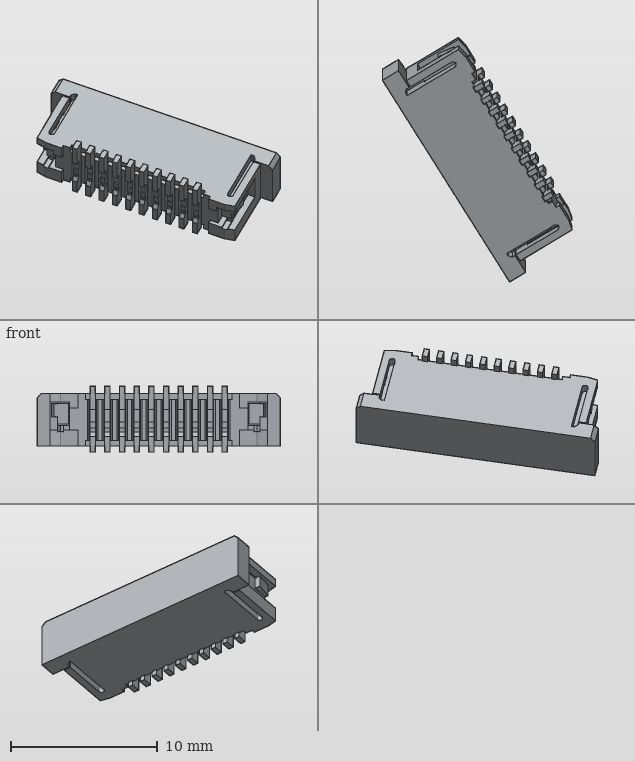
import cadquery as cq

BODY_HEIGHT = 3.6
BACK_Y = 5.75
FRONT_Y = 0.05
CONTACT_FACE_Y = 0.31
HALF_WIDTH = 7.42
HALF_EAR_WIDTH = 8.3
EAR_FRONT_Y = 4.46
EAR_CHAMFER = 0.3
BLOCK_INNER_X = 5.5
BEVEL_START_X = 6.7
BEVEL_DEPTH = 0.15

CONTACT_COUNT = 10
PITCH = 1.0
CONTACT_WIDTH = 0.37
CONTACT_DEPTH = 0.7
CONTACT_OVERHANG_TOP = 0.5
CONTACT_OVERHANG_BOTTOM = 0.4
CONTACT_STEP_Z = 2.5
CONTACT_TAB_Y = 0.2
CONTACT_TAB_LOW_Z = 1.25
CONTACT_TAB_HIGH_Z = 1.65
CONTACT_RAMP_HIGH_Z = 0.95
CONTACT_RAMP_LOW_Z = 0.65

HALF_ROW = CONTACT_COUNT * PITCH / 2
ROW_BACK_Y = 0.61
PARTITION_LOW_Z = 0.4
PARTITION_HIGH_Z = 3.2
PARTITION_ROOT_WIDTH = 0.5
PARTITION_TIP_WIDTH = 0.28
PARTITION_SIDE_BULGE = 0.04

SLOT_OUTER_X = 6.9
SLOT_WIDTH = 0.4
SLOT_FRONT_Y = 0.86
SLOT_BACK_Y = 4.87
ARM_GAP = 0.1
ARM_BACK_Y = EAR_FRONT_Y - ARM_GAP
SLOT_INNER_X = SLOT_OUTER_X - SLOT_WIDTH

WINDOW_LOW_Z = 1.1
WINDOW_HIGH_Z = 3.0
WINDOW_BACK_Y = 3.475
WINDOW_INNER_X = 6.1
FRONT_RECESS_HIGH_Z = 2.6
TUNNEL_LOW_Z = 1.4
TUNNEL_BACK_Y = 5.0
GROOVE_DEPTH = 0.1

LEG_LOW_Z = 1.5
LEG_HIGH_Z = 2.9
LEG_FRONT_Y = 0.7
LEG_INNER_X = 6.17
LEG_OUTER_X = SLOT_OUTER_X
TOOTH_LOW_Z = 2.0
TOOTH_FRONT_X = 7.15
TOOTH_BACK_X = 7.31
TOOTH_BACK_Y = 1.88
BUMP_FRONT_Y = 2.71
BUMP_CREST_Y = 2.86
BUMP_HEIGHT = 0.16
BUMP_FALL_Y = 3.16
BUMP_BACK_Y = 3.42

OVERLAP = 0.2


def box(x_range, y_range, z_range):
    """Box between opposite limits along each axis."""
    sizes = [high - low for low, high in (x_range, y_range, z_range)]
    corner = (x_range[0], y_range[0], z_range[0])
    return cq.Workplane("XY").box(*sizes, centered=False).translate(corner)


def plate(points, low_z, high_z):
    """Closed XY polygon extruded between two heights."""
    return cq.Workplane("XY").workplane(offset=low_z).polyline(points).close().extrude(high_z - low_z)


def both_ends(right_part):
    """The given right-end shape together with its mirror image."""
    return right_part.union(right_part.mirror("YZ"))


def make_body():
    half_outline = [
        (0, CONTACT_FACE_Y),
        (BLOCK_INNER_X, CONTACT_FACE_Y),
        (BLOCK_INNER_X, FRONT_Y),
        (BEVEL_START_X, FRONT_Y),
        (HALF_WIDTH, FRONT_Y + BEVEL_DEPTH),
        (HALF_WIDTH, BACK_Y),
        (0, BACK_Y),
    ]
    body = both_ends(plate(half_outline, 0, BODY_HEIGHT))
    flange = (
        box((-HALF_EAR_WIDTH, HALF_EAR_WIDTH), (EAR_FRONT_Y, BACK_Y), (0, BODY_HEIGHT))
        .edges("|Y and >Z")
        .chamfer(EAR_CHAMFER)
    )
    return body.union(flange)


def arm_slot():
    """Through slot and rear gap that separate the right latch arm from the body."""
    radius = SLOT_WIDTH / 2
    center_x = SLOT_INNER_X + radius
    slot = (
        cq.Workplane("XY")
        .moveTo(SLOT_INNER_X, SLOT_BACK_Y)
        .lineTo(SLOT_INNER_X, SLOT_FRONT_Y + radius)
        .threePointArc((center_x, SLOT_FRONT_Y), (SLOT_OUTER_X, SLOT_FRONT_Y + radius))
        .lineTo(SLOT_OUTER_X, SLOT_BACK_Y - radius)
        .lineTo(center_x, SLOT_BACK_Y)
        .close()
        .extrude(BODY_HEIGHT)
    )
    gap = box((SLOT_INNER_X, HALF_WIDTH), (ARM_BACK_Y, EAR_FRONT_Y), (0, BODY_HEIGHT))
    return slot.union(gap)


def side_window():
    """Right window with its front recess, the tunnel behind it and the floor groove."""
    window = box((WINDOW_INNER_X, HALF_WIDTH), (0, WINDOW_BACK_Y), (WINDOW_LOW_Z, WINDOW_HIGH_Z))
    recess = box((BLOCK_INNER_X, HALF_WIDTH), (0, CONTACT_FACE_Y), (WINDOW_LOW_Z, FRONT_RECESS_HIGH_Z))
    tunnel = box((WINDOW_INNER_X, SLOT_OUTER_X), (0, TUNNEL_BACK_Y), (TUNNEL_LOW_Z, WINDOW_HIGH_Z))
    groove = box(
        (SLOT_INNER_X, SLOT_OUTER_X),
        (0, WINDOW_BACK_Y),
        (WINDOW_LOW_Z - GROOVE_DEPTH, WINDOW_HIGH_Z),
    )
    return window.union(recess).union(tunnel).union(groove)


def latch_leg():
    """Right latch leg: a bar rooted in the body, with a tooth and a bump on its upper part."""
    root_y = TUNNEL_BACK_Y + OVERLAP
    bar = box((LEG_INNER_X, LEG_OUTER_X), (LEG_FRONT_Y, root_y), (LEG_LOW_Z, LEG_HIGH_Z))
    tooth_outline = [
        (LEG_INNER_X, LEG_FRONT_Y),
        (TOOTH_FRONT_X, LEG_FRONT_Y),
        (TOOTH_BACK_X, TOOTH_BACK_Y),
        (LEG_INNER_X, TOOTH_BACK_Y),
    ]
    bump_x = LEG_OUTER_X + BUMP_HEIGHT
    bump_outline = [
        (LEG_INNER_X, BUMP_FRONT_Y),
        (LEG_OUTER_X, BUMP_FRONT_Y),
        (bump_x, BUMP_CREST_Y),
        (bump_x, BUMP_FALL_Y),
        (LEG_OUTER_X, BUMP_BACK_Y),
        (LEG_INNER_X, BUMP_BACK_Y),
    ]
    leg = bar.union(plate(tooth_outline, TOOTH_LOW_Z, LEG_HIGH_Z))
    return leg.union(plate(bump_outline, TOOTH_LOW_Z, LEG_HIGH_Z))


def row_recess():
    return box((-HALF_ROW, HALF_ROW), (0, ROW_BACK_Y), (0, BODY_HEIGHT))


def partitions():
    """Walls with curved sides midway between contacts; the outermost two merge with the end blocks."""
    half_root = PARTITION_ROOT_WIDTH / 2
    half_tip = PARTITION_TIP_WIDTH / 2
    bulge_x = (half_root + half_tip) / 2 + PARTITION_SIDE_BULGE
    bulge_y = (ROW_BACK_Y + CONTACT_FACE_Y) / 2
    wall = (
        cq.Workplane("XY")
        .workplane(offset=PARTITION_LOW_Z)
        .moveTo(-half_root, ROW_BACK_Y + OVERLAP)
        .lineTo(-half_root, ROW_BACK_Y)
        .threePointArc((-bulge_x, bulge_y), (-half_tip, CONTACT_FACE_Y))
        .lineTo(half_tip, CONTACT_FACE_Y)
        .threePointArc((bulge_x, bulge_y), (half_root, ROW_BACK_Y))
        .lineTo(half_root, ROW_BACK_Y + OVERLAP)
        .close()
        .extrude(PARTITION_HIGH_Z - PARTITION_LOW_Z)
    )
    walls = cq.Workplane("XY")
    for index in range(CONTACT_COUNT + 1):
        walls = walls.union(wall.translate((index * PITCH - HALF_ROW, 0, 0)))
    return walls


def contact():
    """One contact, from its side profile, centred on X = 0."""
    top_z = BODY_HEIGHT + CONTACT_OVERHANG_TOP
    profile = [
        (0, -CONTACT_OVERHANG_BOTTOM),
        (0, CONTACT_RAMP_LOW_Z),
        (CONTACT_TAB_Y, CONTACT_RAMP_HIGH_Z),
        (CONTACT_FACE_Y, CONTACT_RAMP_HIGH_Z),
        (CONTACT_FACE_Y, CONTACT_TAB_LOW_Z),
        (CONTACT_TAB_Y, CONTACT_TAB_LOW_Z),
        (CONTACT_TAB_Y, CONTACT_TAB_HIGH_Z),
        (CONTACT_FACE_Y, CONTACT_TAB_HIGH_Z),
        (CONTACT_FACE_Y, CONTACT_STEP_Z),
        (0, CONTACT_STEP_Z),
        (0, top_z),
        (CONTACT_DEPTH, top_z),
        (CONTACT_DEPTH, -CONTACT_OVERHANG_BOTTOM),
    ]
    return cq.Workplane("YZ").polyline(profile).close().extrude(CONTACT_WIDTH / 2, both=True)


result = make_body().cut(both_ends(arm_slot())).cut(both_ends(side_window()))
result = result.union(both_ends(latch_leg()))
result = result.cut(row_recess()).union(partitions())
single_contact = contact()
for position in range(CONTACT_COUNT):
    contact_x = (position + 0.5) * PITCH - HALF_ROW
    result = result.union(single_contact.translate((contact_x, 0, 0)))